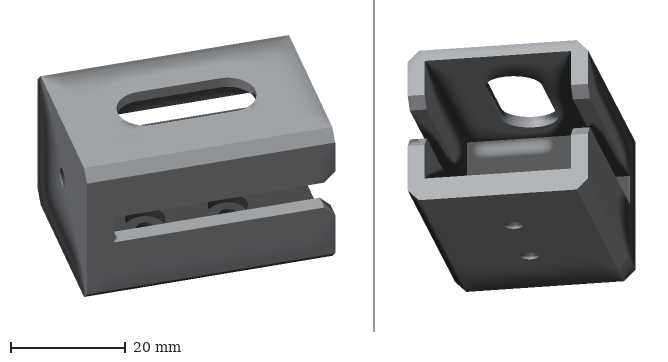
import cadquery as cq

width = 32.0
length = 45.0
height = 28.0
edge_chamfer = 2.0

end_plate = 5.0
side_wall = 3.0
floor = 4.0
roof = 2.0

gap_bottom = 12.3
gap_height = 5.4
gap_lead_in = 2.0

slot_width = 10.0
hole_spacing = 15.0
hole_diameter = 3.2
recess_diameter = 7.0
recess_depth = 2.0
end_hole_diameter = 3.4
end_hole_height = 15.95

front_y = -length / 2
back_y = length / 2
inner_y = front_y + end_plate
gap_top = gap_bottom + gap_height


def chamfered_block():
    """Solid block with its four lengthwise edges chamfered."""
    block = cq.Workplane("XY").box(width, length, height, centered=(True, True, False))
    return block.edges("|Y").chamfer(edge_chamfer)


def cavity():
    """Interior space, open at the back."""
    return (
        cq.Workplane("XY", origin=(0, inner_y, floor))
        .box(width - 2 * side_wall, back_y - inner_y, height - floor - roof, centered=(True, False, False))
    )


def side_gap():
    """Gap across the full width, flared at the open back end."""
    flare_y = back_y - gap_lead_in
    outline = [
        (inner_y, gap_bottom),
        (flare_y, gap_bottom),
        (back_y, gap_bottom - gap_lead_in),
        (back_y, gap_top + gap_lead_in),
        (flare_y, gap_top),
        (inner_y, gap_top),
    ]
    return cq.Workplane("YZ").polyline(outline).close().extrude(width / 2, both=True)


def roof_slot():
    """Rounded slot through the roof, above both floor holes."""
    return (
        cq.Workplane("XY", origin=(0, 0, height - roof))
        .slot2D(hole_spacing + slot_width, slot_width, 90)
        .extrude(roof)
    )


def floor_holes():
    """Two counterbored holes through the floor, recessed from the inside."""
    centers = [(0, -hole_spacing / 2), (0, hole_spacing / 2)]
    holes = cq.Workplane("XY").pushPoints(centers).circle(hole_diameter / 2).extrude(floor)
    recesses = (
        cq.Workplane("XY", origin=(0, 0, floor - recess_depth))
        .pushPoints(centers)
        .circle(recess_diameter / 2)
        .extrude(recess_depth)
    )
    return holes.union(recesses)


def end_hole():
    """Round hole through the front end plate."""
    return (
        cq.Workplane("XZ", origin=(0, front_y, end_hole_height))
        .circle(end_hole_diameter / 2)
        .extrude(-end_plate)
    )


result = chamfered_block()
for opening in (cavity(), side_gap(), roof_slot(), floor_holes(), end_hole()):
    result = result.cut(opening)